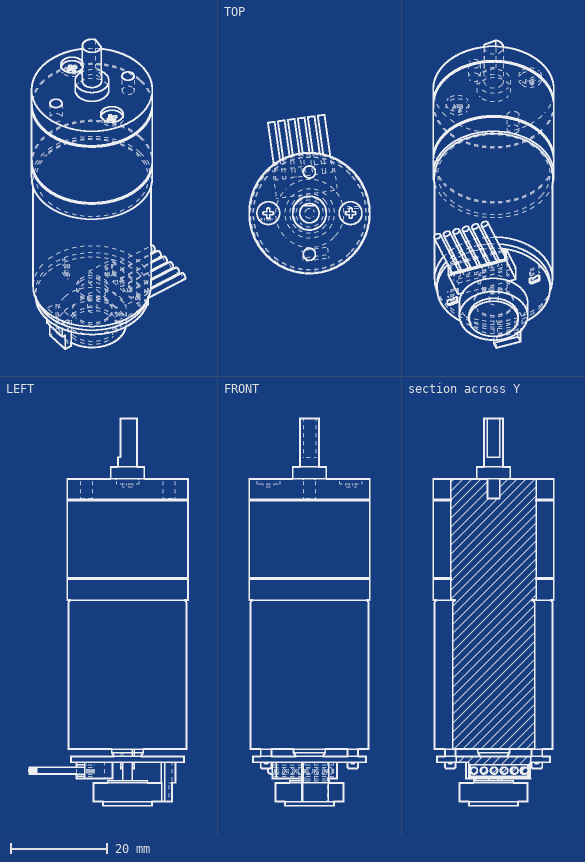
import cadquery as cq


gearbox_dia = 25.0
gearbox_length = 25.0
seam_tops = (-4.2, -20.4)
seam_width = 0.3
seam_depth = 0.1

boss_dia = 7.0
boss_height = 2.5
shaft_dia = 4.0
shaft_length = 10.0
flat_length = 8.0
flat_offset = 1.5

bolt_circle_radius = 8.5
mount_hole_dia = 2.5
mount_hole_depth = 4.0
screw_recess_dia = 4.7
screw_recess_depth = 1.0
cross_length = 2.2
cross_width = 0.6
cross_depth = 0.6

motor_dia = 24.4
motor_length = 30.8
motor_edge_radius = 0.6
motor_bottom = -gearbox_length - motor_length
bearing_dia = 6.6
bearing_end_dia = 5.6
bearing_rim_height = 0.7

board_gap = 1.5
board_dia = 23.4
board_thickness = 1.25
board_top = motor_bottom - board_gap
board_bottom = board_top - board_thickness

terminal_x = 8.95
terminal_y = 1.2
terminal_width = 2.25
terminal_thickness = 0.4
terminal_length = 4.0
terminal_chamfer = 0.25
terminal_hole_dia = 0.8
terminal_hole_rise = 0.15

rear_shaft_dia = 2.0
magnet_dia = 14.1
magnet_top = -62.75
magnet_thickness = 3.9
magnet_bottom = magnet_top - magnet_thickness
hub_dia = 8.2
hub_height = 0.45
end_cap_dia = 10.2
overall_length = 80.0
part_bottom = boss_height + shaft_length - overall_length

encoder_angle = 8.0
connector_width = 12.7
connector_front = 4.0
connector_back = 9.8
connector_height = 3.35
socket_width = 12.0
socket_height = 2.4
socket_depth = 2.0
wire_count = 6
wire_pitch = 2.08
wire_dia = 1.44
wire_end = 19.72
sensor_width = 5.34
sensor_inner = -7.4
sensor_outer = -9.65
sensor_step = 0.7
sensor_step_z = magnet_top
sensor_bottom = magnet_bottom

overlap = 0.5


def cylinder(dia, bottom, top):
    """Cylinder on the motor axis between two heights."""
    return cq.Workplane("XY").workplane(offset=bottom).circle(dia / 2).extrude(top - bottom)


def box_between(x_range, y_range, z_range):
    """Box spanning the given (low, high) ranges."""
    size = [high - low for low, high in (x_range, y_range, z_range)]
    corner = (x_range[0], y_range[0], z_range[0])
    return cq.Workplane("XY").box(*size, centered=False).translate(corner)


def make_gearbox():
    body = cylinder(gearbox_dia, -gearbox_length, 0)
    for top in seam_tops:
        core = cylinder(gearbox_dia - 2 * seam_depth, top - seam_width, top)
        body = body.cut(cylinder(gearbox_dia + overlap, top - seam_width, top).cut(core))

    mount_points = [(0, bolt_circle_radius), (0, -bolt_circle_radius)]
    screw_points = [(bolt_circle_radius, 0), (-bolt_circle_radius, 0)]
    face = cq.Workplane("XY")
    body = body.cut(face.pushPoints(mount_points).circle(mount_hole_dia / 2).extrude(-mount_hole_depth))
    body = body.cut(face.pushPoints(screw_points).circle(screw_recess_dia / 2).extrude(-screw_recess_depth))

    recess_floor = face.workplane(offset=-screw_recess_depth).pushPoints(screw_points)
    for arm_angle in (0, 90):
        body = body.cut(recess_floor.slot2D(cross_length, cross_width, arm_angle).extrude(-cross_depth))
    return body


def make_output_shaft():
    shaft_top = boss_height + shaft_length
    shaft = cylinder(shaft_dia, -overlap, shaft_top)
    flat_cut = box_between(
        (-shaft_dia, shaft_dia),
        (flat_offset, shaft_dia),
        (shaft_top - flat_length, shaft_top + overlap),
    )
    return shaft.cut(flat_cut).union(cylinder(boss_dia, -overlap, boss_height))


def make_motor():
    can = cylinder(motor_dia, motor_bottom, -gearbox_length).faces(">Z").edges().fillet(motor_edge_radius)
    rim_bottom = motor_bottom - bearing_rim_height
    bearing_rim = cylinder(bearing_dia, rim_bottom, motor_bottom)
    bearing_cone = (
        cq.Workplane("XY").workplane(offset=rim_bottom).circle(bearing_dia / 2)
        .workplane(offset=board_top - rim_bottom).circle(bearing_end_dia / 2)
        .loft()
    )
    return can.union(bearing_rim).union(bearing_cone)


def make_terminal():
    """Terminal on the +X side, with its solder hole partly covered by the board."""
    blade = box_between(
        (terminal_x - terminal_width / 2, terminal_x + terminal_width / 2),
        (terminal_y - terminal_thickness / 2, terminal_y + terminal_thickness / 2),
        (motor_bottom - terminal_length, motor_bottom),
    )
    blade = blade.faces("<Z").edges("|Y").chamfer(terminal_chamfer)
    hole = (
        cq.Workplane("XZ", origin=(terminal_x, terminal_y, board_bottom + terminal_hole_rise))
        .circle(terminal_hole_dia / 2).extrude(terminal_thickness, both=True)
    )
    return blade.cut(hole)


def make_magnet():
    magnet = cylinder(magnet_dia, magnet_bottom, magnet_top)
    magnet = magnet.union(cylinder(hub_dia, magnet_top, magnet_top + hub_height))
    magnet = magnet.union(cylinder(end_cap_dia, part_bottom, magnet_bottom))
    return magnet.union(cylinder(rear_shaft_dia, magnet_top, board_bottom))


def make_connector():
    half_width = connector_width / 2
    connector = box_between(
        (-half_width, half_width),
        (connector_front, connector_back),
        (board_bottom - connector_height, board_bottom),
    )
    wire_z = board_bottom - connector_height / 2
    socket_floor = connector_back - socket_depth
    socket = box_between(
        (-socket_width / 2, socket_width / 2),
        (socket_floor, connector_back),
        (wire_z - socket_height / 2, wire_z + socket_height / 2),
    )
    connector = connector.cut(socket)
    wire_start = socket_floor - overlap
    for index in range(wire_count):
        wire_x = (index - (wire_count - 1) / 2) * wire_pitch
        wire = (
            cq.Workplane("XZ", origin=(wire_x, wire_start, wire_z))
            .circle(wire_dia / 2).extrude(wire_start - wire_end)
        )
        connector = connector.union(wire)
    return connector


def make_sensor():
    outline = [
        (sensor_inner, board_bottom),
        (sensor_outer, board_bottom),
        (sensor_outer, sensor_step_z),
        (sensor_outer + sensor_step, sensor_step_z),
        (sensor_outer + sensor_step, sensor_bottom),
        (sensor_inner, sensor_bottom),
    ]
    return cq.Workplane("YZ").polyline(outline).close().extrude(sensor_width / 2, both=True)


def turn_to_encoder_frame(body):
    return body.rotate((0, 0, 0), (0, 0, 1), encoder_angle)


result = make_gearbox().union(make_output_shaft()).union(make_motor())
result = result.union(cylinder(board_dia, board_bottom, board_top))
for angle in (0, 180):
    result = result.union(make_terminal().rotate((0, 0, 0), (0, 0, 1), angle))
result = result.union(make_magnet())
result = result.union(turn_to_encoder_frame(make_connector()))
result = result.union(turn_to_encoder_frame(make_sensor()))